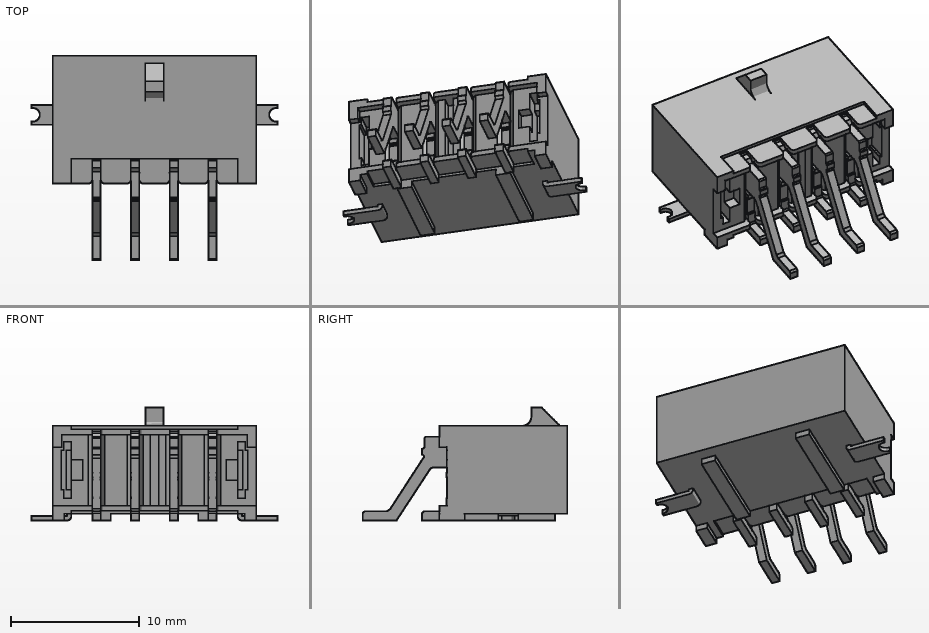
import cadquery as cq
import math


BODY_W = 15.81
BODY_D = 9.93
BODY_TOP = 7.35
BODY_BOTTOM = 0.52
CORNER_FOOT_W = 0.92
RELIEF_D = 1.95
CORNER_FOOT_D = RELIEF_D

LEDGE_D = 0.57
LEDGE_BOTTOM = 1.17
LEDGE_TOP = 6.67
CORNER_BLOCK_W = 0.73
CORNER_BLOCK_BOTTOM = 5.7
RELIEF_W = 12.87
TOP_RELIEF = 0.27
BOTTOM_RELIEF = 0.23
CENTRE_GROOVE_W = 0.67
CENTRE_GROOVE_D = 0.95

PIN_PITCH = 3.0
PIN_COUNT = 4
PIN_W = 0.65
PIN_X = [(i - (PIN_COUNT - 1) / 2) * PIN_PITCH for i in range(PIN_COUNT)]
SLOT_REAR = 1.85
SLOT_FLARE = 0.3
TAIL_H = 0.73
TAIL_BEVEL = 0.15
ROOT_D = 0.38
PIN_ROOT = SLOT_REAR + ROOT_D

UPPER_TIP_Y = -5.95
UPPER_SHOULDER_TOP = 6.91
UPPER_STEP_TOP = 6.78
UPPER_HEAD_TOP = 6.51
UPPER_HEAD_BOTTOM = 4.1
UPPER_HEAD_Y = -1.17
UPPER_HEAD_BEVEL = 0.11
UPPER_NOSE_Y = -1.35
UPPER_NOSE_TOP = 5.58
UPPER_NOSE_BOTTOM = 5.1

LOWER_TIP_Y = -1.35
LOWER_HEAD_TOP = 3.72
LOWER_HEAD_BOTTOM = 3.35
LOWER_HEAD_Y = 0.53
LOWER_STEM_Y = 0.67
LOWER_NECK_Y = 0.76
LOWER_FOOT_TOP = 1.72
LOWER_TAIL_BEVEL = 0.11

RETENTION_INNER_X = RELIEF_W / 2
TALL_SLOT_W = 0.61
TALL_SLOT_Z = (1.74, 6.11)
DEEP_SLOT_W = 0.8
DEEP_SLOT_STEP_W = 0.38
DEEP_SLOT_D = 2.3
OUTER_SLOT_D = 1.53
DEEP_SLOT_Z = (2.4, 5.45)
WINDOW_W = 0.88
WINDOW_D = 0.85
WINDOW_Z = (3.11, 4.72)

LATCH_W = 1.43
LATCH_TOP = 8.77
LATCH_REAR_GAP = 0.6
LATCH_FLAT = 0.8
LATCH_FILLET = 0.7

SPAN = 19.1
TAB_D = 1.55
TAB_T = 0.36
TAB_BEND_R = 0.35
TAB_REAR_GAP = 3.82
TAB_NOTCH_D = 0.65
TAB_NOTCH_R = 0.52
PAD_REAR_GAP = 0.95
PAD_W = 1.15
PAD_INNER_X = 3.38


def block(x, y, z):
    """Box spanning the given (low, high) pairs."""
    size = [high - low for low, high in (x, y, z)]
    return cq.Workplane("XY").box(*size, centered=False).translate((x[0], y[0], z[0]))


def on_both_sides(solid):
    return solid.union(solid.mirror("YZ"))


def side_profile(outline, x_centre, width):
    """Extrude a closed (Y, Z) outline across X."""
    return outline.close().extrude(width / 2, both=True).translate((x_centre, 0, 0))


def make_housing():
    """Block on two corner feet, with a set-back front, relieved plates and a centre groove."""
    half = BODY_W / 2
    housing = block((-half, half), (0, BODY_D), (BODY_BOTTOM, BODY_TOP))
    corner_foot = block((-half, CORNER_FOOT_W - half), (0, CORNER_FOOT_D), (0, BODY_BOTTOM))
    housing = housing.union(on_both_sides(corner_foot))

    inner = half - CORNER_BLOCK_W
    ledge = block((-half, half), (0, LEDGE_D), (LEDGE_BOTTOM, CORNER_BLOCK_BOTTOM))
    ledge = ledge.union(block((-inner, inner), (0, LEDGE_D), (LEDGE_BOTTOM, LEDGE_TOP)))
    relief_x = (-RELIEF_W / 2, RELIEF_W / 2)
    top_relief = block(relief_x, (0, RELIEF_D), (BODY_TOP - TOP_RELIEF, BODY_TOP))
    bottom_relief = block(relief_x, (0, RELIEF_D), (BODY_BOTTOM, BODY_BOTTOM + BOTTOM_RELIEF))
    groove = block(
        (-CENTRE_GROOVE_W / 2, CENTRE_GROOVE_W / 2),
        (LEDGE_D, LEDGE_D + CENTRE_GROOVE_D),
        (LEDGE_BOTTOM, LEDGE_TOP),
    )
    return housing.cut(ledge).cut(top_relief).cut(bottom_relief).cut(groove)


def make_pin_slot(x_centre):
    """Through slot for one column of terminals, rounded open at the plates and bevelled between them."""
    edge = PIN_W / 2
    mouth = edge + SLOT_FLARE
    rounding = SLOT_FLARE * (1 - math.sqrt(0.5))
    plates = (
        cq.Workplane("XY")
        .moveTo(-mouth, 0)
        .threePointArc((-edge - rounding, rounding), (-edge, SLOT_FLARE))
        .lineTo(-edge, SLOT_REAR)
        .lineTo(edge, SLOT_REAR)
        .lineTo(edge, SLOT_FLARE)
        .threePointArc((edge + rounding, rounding), (mouth, 0))
        .close()
        .extrude(BODY_TOP)
    )
    bevel = (
        cq.Workplane("XY", origin=(0, LEDGE_D, LEDGE_BOTTOM))
        .polyline([(-mouth, 0), (-edge, SLOT_FLARE), (edge, SLOT_FLARE), (mouth, 0)])
        .close()
        .extrude(LEDGE_TOP - LEDGE_BOTTOM)
    )
    return plates.union(bevel).translate((x_centre, 0, 0))


def make_upper_terminal(x_centre):
    """Shouldered head in the slot, a leg sloping down from it, and a tail on the board."""
    outline = (
        cq.Workplane("YZ")
        .moveTo(PIN_ROOT, UPPER_SHOULDER_TOP)
        .lineTo(SLOT_REAR, UPPER_SHOULDER_TOP)
        .lineTo(1.75, UPPER_STEP_TOP)
        .lineTo(1.25, UPPER_STEP_TOP)
        .lineTo(1.07, 6.6)
        .lineTo(0.92, UPPER_HEAD_TOP)
        .lineTo(UPPER_HEAD_Y + UPPER_HEAD_BEVEL, UPPER_HEAD_TOP)
        .lineTo(UPPER_HEAD_Y, UPPER_HEAD_TOP - UPPER_HEAD_BEVEL)
        .lineTo(UPPER_HEAD_Y, UPPER_NOSE_TOP + UPPER_HEAD_BEVEL)
        .lineTo(-1.26, UPPER_NOSE_TOP)
        .lineTo(UPPER_NOSE_Y, UPPER_NOSE_TOP)
        .lineTo(UPPER_NOSE_Y, UPPER_NOSE_BOTTOM)
        .threePointArc((-1.2, 4.97), (-1.28, 4.81))
        .lineTo(-3.82, 0.9)
        .lineTo(-4.07, TAIL_H)
        .lineTo(UPPER_TIP_Y + TAIL_BEVEL, TAIL_H)
        .lineTo(UPPER_TIP_Y, TAIL_H - TAIL_BEVEL)
        .lineTo(UPPER_TIP_Y, 0)
        .lineTo(-3.32, 0)
        .lineTo(-0.78, 3.88)
        .threePointArc((-0.67, 4.03), (-0.48, UPPER_HEAD_BOTTOM))
        .lineTo(PIN_ROOT, UPPER_HEAD_BOTTOM)
    )
    return side_profile(outline, x_centre, PIN_W)


def make_lower_terminal(x_centre):
    """Upright head in the slot with a short tail at its foot."""
    outline = (
        cq.Workplane("YZ")
        .moveTo(PIN_ROOT, LOWER_HEAD_TOP)
        .lineTo(LOWER_HEAD_Y, LOWER_HEAD_TOP)
        .lineTo(LOWER_HEAD_Y, LOWER_HEAD_BOTTOM)
        .lineTo(LOWER_NECK_Y, LOWER_HEAD_BOTTOM)
        .lineTo(LOWER_NECK_Y, 3.2)
        .lineTo(LOWER_STEM_Y, 3.17)
        .lineTo(LOWER_STEM_Y, 1.8)
        .lineTo(0.61, LOWER_FOOT_TOP)
        .lineTo(LOWER_HEAD_Y, LOWER_FOOT_TOP)
        .lineTo(LOWER_HEAD_Y, TAIL_H + LOWER_TAIL_BEVEL)
        .lineTo(LOWER_HEAD_Y - LOWER_TAIL_BEVEL, TAIL_H)
        .lineTo(LOWER_TIP_Y + TAIL_BEVEL, TAIL_H)
        .lineTo(LOWER_TIP_Y, TAIL_H - TAIL_BEVEL)
        .lineTo(LOWER_TIP_Y, 0)
        .lineTo(SLOT_REAR, 0)
        .lineTo(SLOT_REAR, BODY_BOTTOM + BOTTOM_RELIEF)
        .lineTo(PIN_ROOT, BODY_BOTTOM + BOTTOM_RELIEF)
    )
    return side_profile(outline, x_centre, PIN_W)


def make_retention_slot():
    """Stepped slot with a shallow window next to it, on the -X side."""
    inner = -RETENTION_INNER_X
    outer = inner - DEEP_SLOT_W
    tall = block((inner - TALL_SLOT_W, inner), (LEDGE_D, LEDGE_D + OUTER_SLOT_D), TALL_SLOT_Z)
    deep = block((outer + DEEP_SLOT_STEP_W, inner), (LEDGE_D, LEDGE_D + DEEP_SLOT_D), DEEP_SLOT_Z)
    step = block((outer, inner), (LEDGE_D, LEDGE_D + OUTER_SLOT_D), DEEP_SLOT_Z)
    window = block((inner, inner + WINDOW_W), (LEDGE_D, LEDGE_D + WINDOW_D), WINDOW_Z)
    return tall.union(deep).union(step).union(window)


def make_latch():
    """Ramped catch with a filleted front face."""
    rise = LATCH_TOP - BODY_TOP
    ramp_foot = BODY_D - LATCH_REAR_GAP
    ramp_top = ramp_foot - rise
    face = ramp_top - LATCH_FLAT
    rounding = LATCH_FILLET * (1 - math.sqrt(0.5))
    outline = (
        cq.Workplane("YZ")
        .moveTo(ramp_foot, BODY_TOP)
        .lineTo(ramp_top, LATCH_TOP)
        .lineTo(face, LATCH_TOP)
        .lineTo(face, BODY_TOP + LATCH_FILLET)
        .threePointArc((face - rounding, BODY_TOP + rounding), (face - LATCH_FILLET, BODY_TOP))
    )
    return side_profile(outline, 0, LATCH_W)


def make_solder_tab():
    """Notched sheet-metal tab on the -X side, bent up into the housing at its inner end."""
    rear = BODY_D - TAB_REAR_GAP
    tip = -SPAN / 2
    inner = -RETENTION_INNER_X
    tab = block((tip, inner), (rear - TAB_D, rear), (0, TAB_T))
    tab = tab.union(block((inner - TAB_T, inner), (rear - TAB_D, rear), (0, BODY_BOTTOM)))
    tab = tab.edges("|Y and >X and <Z").fillet(TAB_BEND_R)
    notch_y = rear - TAB_D / 2
    notch_x = tip + TAB_NOTCH_D - TAB_NOTCH_R
    round_end = cq.Workplane("XY").center(notch_x, notch_y).circle(TAB_NOTCH_R).extrude(TAB_T)
    mouth = block((tip, notch_x), (notch_y - TAB_NOTCH_R, notch_y + TAB_NOTCH_R), (0, TAB_T))
    return tab.cut(round_end).cut(mouth)


def make_pad():
    """Stand-off pad under the housing on the -X side."""
    depth = (CORNER_FOOT_D, BODY_D - PAD_REAR_GAP)
    return block((-PAD_INNER_X - PAD_W, -PAD_INNER_X), depth, (0, BODY_BOTTOM))


result = make_housing().cut(on_both_sides(make_retention_slot()))
for pin_x in PIN_X:
    result = result.cut(make_pin_slot(pin_x))
for pin_x in PIN_X:
    result = result.union(make_upper_terminal(pin_x)).union(make_lower_terminal(pin_x))
result = result.union(make_latch())
result = result.union(on_both_sides(make_pad())).union(on_both_sides(make_solder_tab()))